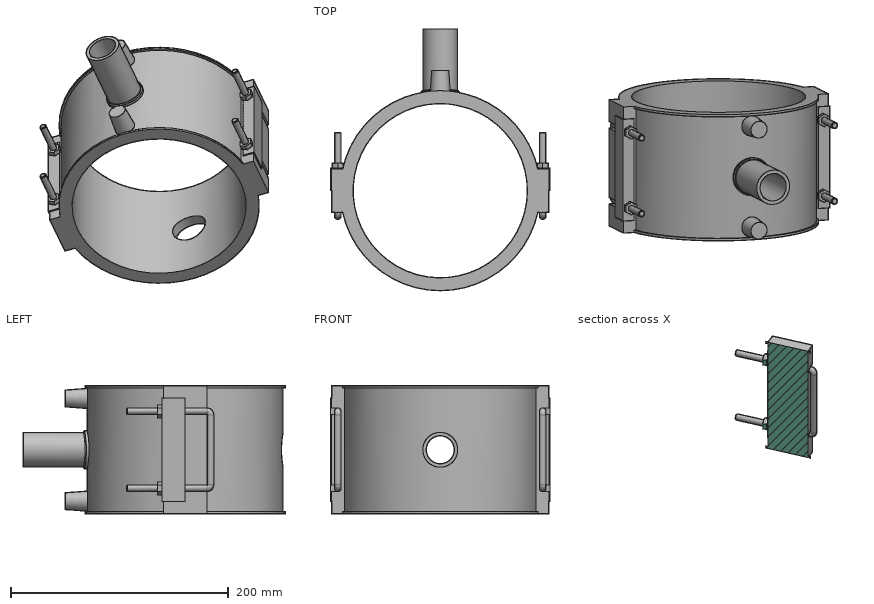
import cadquery as cq
import math

height = 118.0
bore_radius = 80.0
body_radius = 90.0
rim_radius = 92.0
rim_height = 2.2

lug_half_width = 100.0
lug_depth = 20.0

plate_thickness = 1.08
plate_height = 95.0
plate_rear = lug_depth + plate_thickness

rod_diameter = 6.0
rod_radius = rod_diameter / 2
rod_x = 94.2
rod_z = 35.5
rod_end = 53.7
rod_tip_chamfer = 0.7
bend_radius = 3.4
bend_z = rod_z - bend_radius
nut_flats = 10.4
nut_thickness = 4.3

pipe_diameter = 32.0
pipe_bore = 25.5
pipe_end = 148.8
bead_diameter = 35.2
bead_radius = 93.5
bead_chamfer = 1.0

stub_z = 47.2
stub_end = 110.3
stub_root = 86.7
stub_end_diameter = 15.7
stub_root_diameter = 19.3


def y_cylinder(diameter, start, end, x=0.0, z=0.0):
    """Cylinder parallel to Y between two Y positions."""
    plane = cq.Plane(origin=(x, start, z), xDir=(1, 0, 0), normal=(0, 1, 0))
    return cq.Workplane(plane).circle(diameter / 2).extrude(end - start)


def z_cylinder(radius, length):
    """Cylinder about the ring axis, centred on Z = 0."""
    return cq.Workplane("XY", origin=(0, 0, -length / 2)).circle(radius).extrude(length)


def ring_blank():
    """Solid drum with a raised rim at each end and a lug on each side."""
    rim_offset = (height - rim_height) / 2
    blank = z_cylinder(body_radius, height)
    for side in (-1, 1):
        rim = z_cylinder(rim_radius, rim_height)
        blank = blank.union(rim.translate((0, 0, side * rim_offset)))
    lugs = cq.Workplane("XY").box(2 * lug_half_width, 2 * lug_depth, height)
    return blank.union(lugs)


def angle_plate():
    """Plate covering the outer and rear faces of the rear lug on the +X side."""
    width = lug_half_width + plate_thickness - body_radius
    plate = cq.Workplane("XY").box(width, plate_rear, plate_height, centered=(False, False, True))
    return plate.translate((body_radius, 0, 0))


def rod_slots():
    """Slots in the front lug on the +X side, open outwards from the rod axes."""
    slot = cq.Workplane("XY").box(
        lug_half_width - rod_x, lug_depth, rod_diameter, centered=(False, False, True)
    )
    slot = slot.translate((rod_x, -lug_depth, 0))
    return slot.translate((0, 0, rod_z)).union(slot.translate((0, 0, -rod_z)))


def u_bolt():
    """U-bolt with nuts on the +X side, its cross bar in front of the lug."""
    bar_base = (rod_x, -lug_depth - bend_radius, -bend_z)
    bolt = cq.Workplane("XY", origin=bar_base).circle(rod_radius).extrude(2 * bend_z)
    for side in (-1, 1):
        rod = y_cylinder(rod_diameter, -lug_depth, rod_end, rod_x, side * rod_z)
        rod = rod.faces(">Y").chamfer(rod_tip_chamfer)
        bend = (
            cq.Workplane("XY", origin=(rod_x, -lug_depth, side * bend_z))
            .center(0, -bend_radius)
            .circle(rod_radius)
            .revolve(90, (0, bend_radius, 0), (-side, bend_radius, 0))
        )
        nut_plane = cq.Plane(
            origin=(rod_x, plate_rear, side * rod_z), xDir=(0, 0, 1), normal=(0, 1, 0)
        )
        nut_corners = nut_flats / math.cos(math.pi / 6)
        nut = cq.Workplane(nut_plane).polygon(6, nut_corners).extrude(nut_thickness)
        bolt = bolt.union(rod).union(bend).union(nut)
    return bolt


def weld_bead():
    """Raised saddle that follows the ring around the foot of the pipe."""
    saddle = z_cylinder(bead_radius, height)
    bead = y_cylinder(bead_diameter, bore_radius, pipe_end).intersect(saddle)
    return bead.faces(">Y").edges().chamfer(bead_chamfer)


def stub(z):
    """Solid stub tapering from the ring towards its rear end."""
    plane = cq.Plane(origin=(0, stub_root, z), xDir=(1, 0, 0), normal=(0, 1, 0))
    return (
        cq.Workplane(plane)
        .circle(stub_root_diameter / 2)
        .workplane(offset=stub_end - stub_root)
        .circle(stub_end_diameter / 2)
        .loft()
    )


body = ring_blank()
plate = angle_plate()
body = body.union(plate).union(plate.mirror("YZ"))
body = body.union(weld_bead())
body = body.union(y_cylinder(pipe_diameter, bore_radius, pipe_end))
for stub_position in (-stub_z, stub_z):
    body = body.union(stub(stub_position))

body = body.cut(z_cylinder(bore_radius, height))
body = body.cut(y_cylinder(pipe_bore, 0, pipe_end))
body = body.cut(y_cylinder(pipe_diameter, -rim_radius, 0))

slots = rod_slots()
body = body.cut(slots).cut(slots.mirror("YZ"))
bolt = u_bolt()
result = body.union(bolt).union(bolt.mirror("YZ"))